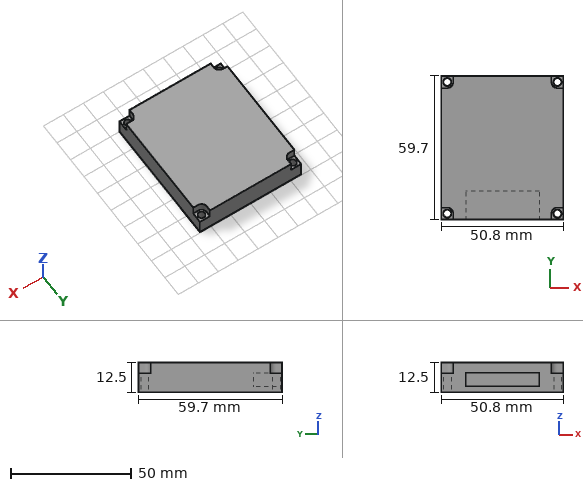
import cadquery as cq

width = 50.8
length = 59.7
height = 12.5

notch_size = 5.0
notch_depth = 4.5
notch_radius = notch_size / 2
hole_inset = notch_size / 2
hole_diameter = 3.2

pocket_width = 30.5
pocket_height = 5.75
pocket_floor = 2.5
pocket_depth = 11.95


def make_corner_notch(side_x, side_y):
    """Square notch with one rounded inner corner, open at the block's corner."""
    seat_height = height - notch_depth
    tool = cq.Workplane("XY").box(
        2 * notch_size, 2 * notch_size, notch_depth, centered=(True, True, False)
    )
    tool = tool.edges("|Z").fillet(notch_radius)
    return tool.translate((side_x * width / 2, side_y * length / 2, seat_height))


def make_screw_hole(side_x, side_y):
    """Through hole in the middle of a corner seat."""
    x = side_x * (width / 2 - hole_inset)
    y = side_y * (length / 2 - hole_inset)
    return cq.Workplane("XY").center(x, y).circle(hole_diameter / 2).extrude(height)


def make_connector_pocket():
    """Blind rectangular pocket entering from the -Y face."""
    pocket = cq.Workplane("XY").box(
        pocket_width, pocket_depth, pocket_height, centered=(True, False, False)
    )
    return pocket.translate((0, -length / 2, pocket_floor))


result = cq.Workplane("XY").box(width, length, height, centered=(True, True, False))
for side_x in (-1, 1):
    for side_y in (-1, 1):
        result = result.cut(make_corner_notch(side_x, side_y))
        result = result.cut(make_screw_hole(side_x, side_y))
result = result.cut(make_connector_pocket())